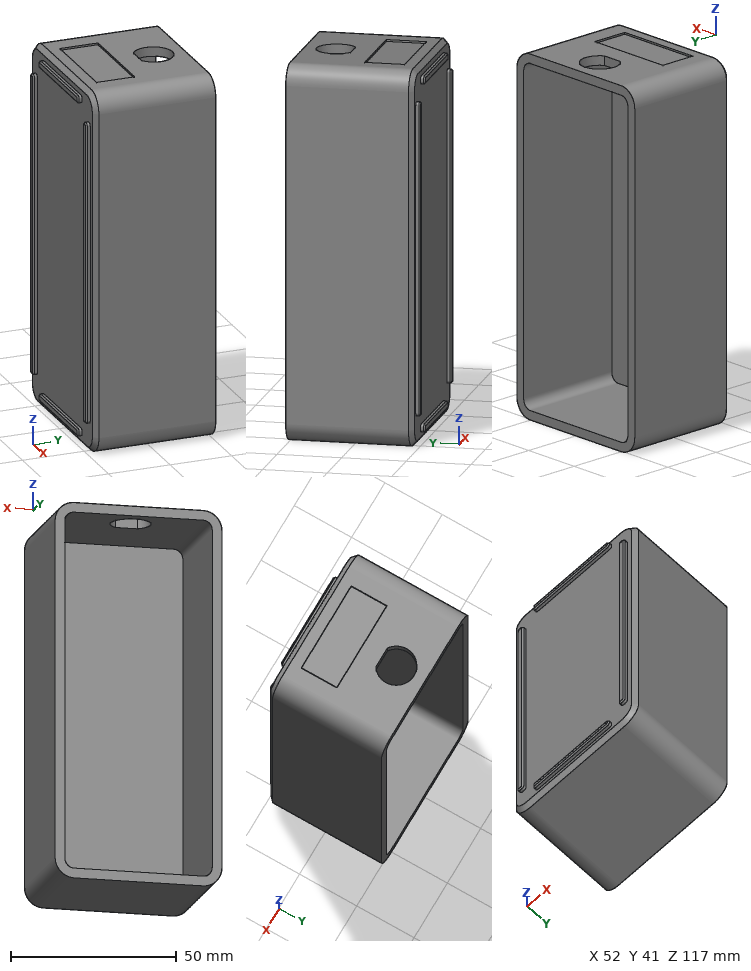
import cadquery as cq

width = 52.0
depth = 41.0
height = 117.0

wall = 3.0
corner_radius = 6.0
front_chamfer = 1.5

rail_height = 1.4
rail_width = 2.5
rail_rounding = 0.9
rail_tip_chamfer = 0.5
rail_inset = 4.5
long_rail_length = 97.5
short_rail_length = 32.2

hole_diameter = 12.4
hole_from_back = 10.0
hole_flat_offset = 5.1

label_length = 30.0
label_width = 12.4
label_from_back = 22.0
label_depth = 0.6

back_y = depth / 2
front_y = rail_height - depth / 2
top_z = height / 2
body_depth = back_y - front_y


def rounded_block(size_x, size_z, length, radius, start_y):
    """Block with rounded edges along Y, running from start_y towards +Y."""
    return (
        cq.Workplane("XZ", origin=(0, start_y, 0))
        .rect(size_x, size_z)
        .extrude(-length)
        .edges("|Y")
        .fillet(radius)
    )


def make_housing():
    """Hollow box with a chamfered front rim and an open back."""
    outer = rounded_block(width, height, body_depth, corner_radius, front_y)
    outer = outer.faces("<Y").chamfer(front_chamfer)
    cavity = rounded_block(
        width - 2 * wall,
        height - 2 * wall,
        body_depth - wall,
        corner_radius - wall,
        front_y + wall,
    )
    return outer.cut(cavity)


def make_rail(size_x, size_z):
    """Rail with rounded corners and a chamfered tip, centred on the Y axis."""
    rail = rounded_block(size_x, size_z, rail_height, rail_rounding, front_y - rail_height)
    return rail.faces("<Y").chamfer(rail_tip_chamfer)


def make_cable_hole():
    """Cutter through the top wall: a cylinder cut off by a flat towards the front."""
    hole_y = back_y - hole_from_back
    top_plane = cq.Workplane("XY", origin=(0, hole_y, top_z))
    cylinder = top_plane.circle(hole_diameter / 2).extrude(-wall)
    kept_length = hole_flat_offset + hole_diameter / 2
    kept_side = (
        top_plane.center(0, kept_length / 2 - hole_flat_offset)
        .rect(hole_diameter, kept_length)
        .extrude(-wall)
    )
    return cylinder.intersect(kept_side)


def make_label_recess():
    """Rectangular cutter for the label area in the top face."""
    label_y = back_y - label_from_back - label_width / 2
    return (
        cq.Workplane("XY", origin=(0, label_y, top_z))
        .rect(label_length, label_width)
        .extrude(-label_depth)
    )


result = make_housing()

long_rail = make_rail(rail_width, long_rail_length)
short_rail = make_rail(short_rail_length, rail_width)
for side in (-1, 1):
    result = result.union(long_rail.translate((side * (width / 2 - rail_inset), 0, 0)))
    result = result.union(short_rail.translate((0, 0, side * (height / 2 - rail_inset))))

result = result.cut(make_cable_hole()).cut(make_label_recess())